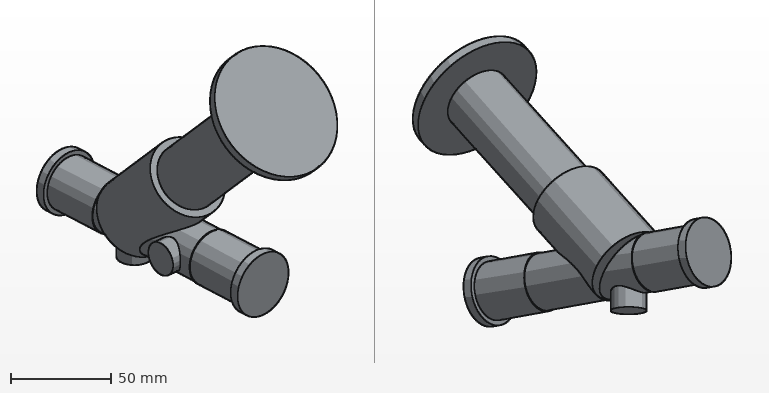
import cadquery as cq
import math

run_length = 146.2
run_flange_diameter = 35.0
flange_thickness = 5.0
end_pipe_diameter = 30.0
body_diameter = 29.0
body_start = 37.7
body_length = run_length - 2 * body_start

branch_x = 52.5
branch_angle = 45.0
sleeve_diameter = 43.0
sleeve_length = 55.0
stem_diameter = 35.0
disc_diameter = 70.0
branch_length = 145.9

boss_diameter = 18.0
lower_boss_reach = 22.5
side_boss_x = 92.5
side_boss_reach = 19.5

x_axis = cq.Vector(1, 0, 0)
slope = math.radians(branch_angle)
branch_axis = cq.Vector(math.cos(slope), 0, math.sin(slope))
branch_origin = cq.Vector(branch_x, 0, 0)


def cylinder(diameter, length, start, direction):
    return cq.Workplane(cq.Solid.makeCylinder(diameter / 2, length, start, direction))


def run_section(diameter, start_x, length):
    return cylinder(diameter, length, cq.Vector(start_x, 0, 0), x_axis)


def branch_section(diameter, start, end):
    return cylinder(diameter, end - start, branch_origin + branch_axis * start, branch_axis)


def make_run():
    run = run_section(body_diameter, body_start, body_length)
    for pipe_x in (0, run_length - body_start):
        run = run.union(run_section(end_pipe_diameter, pipe_x, body_start))
    for flange_x in (0, run_length - flange_thickness):
        run = run.union(run_section(run_flange_diameter, flange_x, flange_thickness))
    return run


def make_branch():
    disc_start = branch_length - flange_thickness
    sleeve = branch_section(sleeve_diameter, 0, sleeve_length)
    stem = branch_section(stem_diameter, sleeve_length, disc_start)
    disc = branch_section(disc_diameter, disc_start, branch_length)
    return sleeve.union(stem).union(disc)


def make_bosses():
    lower = cylinder(boss_diameter, lower_boss_reach, branch_origin, cq.Vector(0, 0, -1))
    side = cylinder(boss_diameter, side_boss_reach, cq.Vector(side_boss_x, 0, 0), cq.Vector(0, -1, 0))
    return lower.union(side)


result = make_run().union(make_branch()).union(make_bosses())